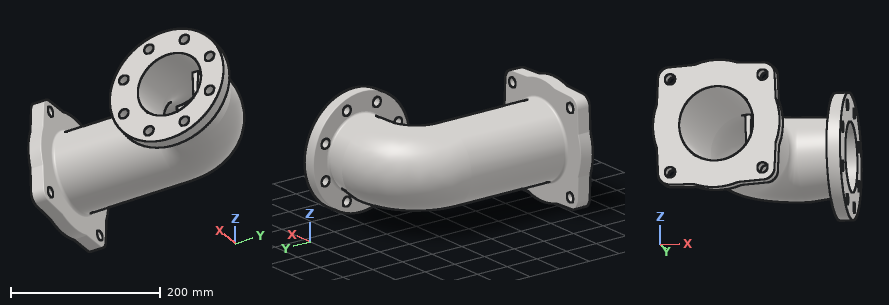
import cadquery as cq
import math

overall_length = 326.5

pipe_radius = 57.0
wall_thickness = 6.2
bore_radius = pipe_radius - wall_thickness
bend_radius = 66.5
bend_angle = 90
bend_start_y = 181.3
bend_end_y = bend_start_y + bend_radius

inlet_thickness = 20.5
flange_span = 174.7
lobe_radius = flange_span / 2
side_middle = 83.3
side_corner = 79.7
corner_fillet = 15.5
lobe_blend = 3.3
inlet_hole_offset = 63.7

outlet_radius = 86.0
outlet_thickness = 18.5
outlet_tilt = 3.8
outlet_face_x = 127.5
outlet_face_y = overall_length - outlet_radius * math.cos(math.radians(outlet_tilt))
outlet_bolt_circle = 70.0
outlet_hole_count = 8

duct_end_radius = 54.0
duct_bore_end_radius = duct_end_radius - wall_thickness
duct_end_offset = 4.2

hole_diameter = 14.0
flange_edge_fillet = 1.3
inlet_root_fillet = 4.0
outlet_root_fillet = 3.0

vane_middle_thickness = 5.2
vane_end_thickness = 8.8
vane_nose_fillet = 2.0
vane_half_height = bore_radius + wall_thickness / 4


def inlet_flange():
    """Square flange with tapered sides, rounded corners and a round lobe on each side."""
    outline = []
    for quarter in range(4):
        turn = math.radians(90 * quarter)
        for u, v in ((0, side_middle), (-side_corner, side_corner)):
            outline.append((u * math.cos(turn) - v * math.sin(turn),
                            u * math.sin(turn) + v * math.cos(turn)))
    square = cq.Workplane("XZ").polyline(outline).close().extrude(-inlet_thickness)
    for x in (-side_corner, side_corner):
        for z in (-side_corner, side_corner):
            corner = cq.selectors.NearestToPointSelector((x, inlet_thickness / 2, z))
            square = square.edges(corner).fillet(corner_fillet)
    disc = cq.Workplane("XZ").circle(lobe_radius).extrude(-inlet_thickness)
    flange = square.union(disc)
    slope = (side_middle - side_corner) / side_corner
    root = math.sqrt(lobe_radius**2 * (1 + slope**2) - side_middle**2)
    lobe_half_width = (side_middle * slope + root) / (1 + slope**2)
    lobe_shoulder = side_middle - slope * lobe_half_width
    for a in (-lobe_half_width, lobe_half_width):
        for b in (-lobe_shoulder, lobe_shoulder):
            for x, z in ((a, b), (b, a)):
                shoulder = cq.selectors.NearestToPointSelector((x, inlet_thickness / 2, z))
                flange = flange.edges(shoulder).fillet(lobe_blend)
    flange = flange.faces(">Y").edges().fillet(flange_edge_fillet)
    bolt_square = 2 * inlet_hole_offset
    bolts = (
        cq.Workplane("XZ")
        .rect(bolt_square, bolt_square, forConstruction=True)
        .vertices()
        .circle(hole_diameter / 2)
        .extrude(-inlet_thickness)
    )
    return flange.cut(bolts)


def outlet_plane(depth):
    """Plane parallel to the outlet face, set back from it; its local X lies in the XY plane."""
    tilt = math.radians(outlet_tilt)
    normal = (math.cos(tilt), math.sin(tilt), 0)
    origin = (outlet_face_x - depth * normal[0], outlet_face_y - depth * normal[1], 0)
    return cq.Plane(origin=origin, xDir=(-normal[1], normal[0], 0), normal=normal)


def outlet_flange():
    """Tilted round disc with a ring of bolt holes and a rounded back rim."""
    flange = cq.Workplane(outlet_plane(outlet_thickness)).circle(outlet_radius).extrude(outlet_thickness)
    flange = flange.faces("<X").edges().fillet(flange_edge_fillet)
    bolts = (
        cq.Workplane(outlet_plane(outlet_thickness))
        .polarArray(outlet_bolt_circle, 180 / outlet_hole_count, 360, outlet_hole_count)
        .circle(hole_diameter / 2)
        .extrude(outlet_thickness)
    )
    return flange.cut(bolts)


def bent_pipe(radius):
    """Round rod along Y from the inlet face, then a quarter turn toward +X."""
    leg = cq.Workplane("XZ").circle(radius).extrude(-bend_start_y)
    bend = (
        cq.Workplane("XZ", origin=(0, bend_start_y, 0))
        .circle(radius)
        .revolve(bend_angle, (bend_radius, 0, 0), (bend_radius, -1, 0))
    )
    return leg.union(bend)


def tapered_duct(start_radius, end_radius, end_depth):
    """Loft from the end of the bend to a circle parallel to the outlet face."""
    start_plane = cq.Plane(origin=(bend_radius, bend_end_y, 0), xDir=(0, 1, 0), normal=(1, 0, 0))
    start = cq.Workplane(start_plane).circle(start_radius).wires().val()
    end = cq.Workplane(outlet_plane(end_depth)).center(duct_end_offset, 0).circle(end_radius).wires().val()
    return cq.Workplane(cq.Solid.makeLoft([start, end], True))


def splitter_vane():
    """Curved wall on the bend's centre line, thinner at mid height, with rounded edges."""
    middle = vane_middle_thickness / 2
    end = vane_end_thickness / 2
    vane = (
        cq.Workplane("XZ", origin=(0, bend_start_y, 0))
        .moveTo(-end, -vane_half_height)
        .threePointArc((-middle, 0), (-end, vane_half_height))
        .lineTo(end, vane_half_height)
        .threePointArc((middle, 0), (end, -vane_half_height))
        .close()
        .revolve(bend_angle, (bend_radius, 0, 0), (bend_radius, -1, 0))
    )
    return vane.faces("<Y or >X").edges("not(|X or |Y)").fillet(vane_nose_fillet)


body = inlet_flange().union(bent_pipe(pipe_radius))
pipe_root = cq.selectors.NearestToPointSelector((0, inlet_thickness, 0))
body = body.edges(pipe_root).fillet(inlet_root_fillet)

duct = tapered_duct(pipe_radius, duct_end_radius, outlet_thickness)
arm = outlet_flange().union(duct)
duct_foot = outlet_plane(outlet_thickness).toWorldCoords((duct_end_offset, 0))
arm = arm.edges(cq.selectors.NearestToPointSelector(duct_foot.toTuple())).fillet(outlet_root_fillet)
body = body.union(arm)
bore = bent_pipe(bore_radius).union(tapered_duct(bore_radius, duct_bore_end_radius, 0))
result = body.cut(bore).union(splitter_vane())